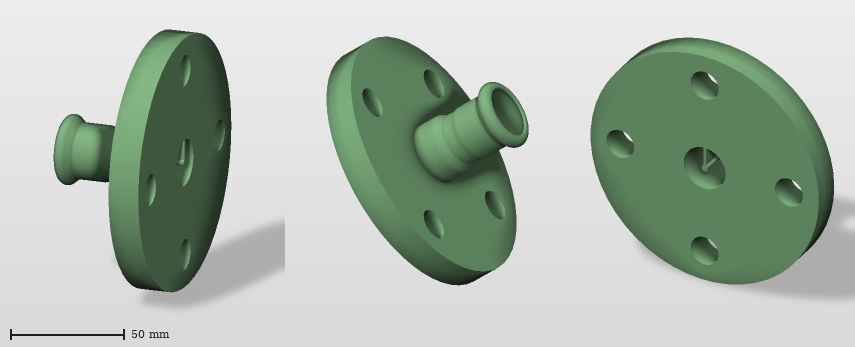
import cadquery as cq
import math

flange_diameter = 115.0
flange_thickness = 14.0
flange_bore = 21.0
bolt_hole_diameter = 14.0
bolt_circle_diameter = 85.0
bolt_hole_count = 4

wall = 0.98
fitting_length = 42.8
socket_radius = 12.6
socket_bore_radius = 11.6
neck_radius = 12.02
collar_radius = 13.97
bead_radius = 15.81
bead_section_radius = 3.2
cavity_section_radius = bead_section_radius - wall
bead_centre_radius = bead_radius - bead_section_radius
bead_end_x = 5.0
socket_start_x = 8.0
socket_end_x = 20.8
neck_start_x = 23.3
neck_end_x = 28.4
shoulder_x = 30.9
shoulder_radius = 13.3
collar_start_x = 33.2

mouth_edge_radius = 12.02
lip_radius = socket_bore_radius
lip_chamfer_length = 0.3
inner_bend_radius = 1.8

key_stem_width = 1.2
key_head_diameter = 3.0
key_length = flange_thickness


def bead_point(section_radius, angle):
    """Point (x, r) on the bead section; the angle is measured from the +X side."""
    return (
        bead_section_radius + section_radius * math.cos(angle),
        bead_centre_radius + section_radius * math.sin(angle),
    )


bead_end_angle = math.acos((bead_end_x - bead_section_radius) / bead_section_radius)
bead_middle_angle = (bead_end_angle + math.pi) / 2
shoulder_middle_x = (shoulder_x + collar_start_x) / 2
shoulder_run = collar_start_x - shoulder_x
shoulder_rise = collar_radius - shoulder_radius
shoulder_arc_radius = (shoulder_run**2 + shoulder_rise**2) / (2 * shoulder_rise)
shoulder_middle_drop = shoulder_arc_radius - math.sqrt(
    shoulder_arc_radius**2 - (collar_start_x - shoulder_middle_x) ** 2
)
shoulder_middle = (shoulder_middle_x, collar_radius - shoulder_middle_drop)

cone_start_x, cone_start_radius = bead_point(cavity_section_radius, bead_end_angle)
cone_angle = math.atan2(cone_start_radius - socket_bore_radius, socket_start_x - cone_start_x)
bend_end_x = socket_start_x + inner_bend_radius * math.tan(cone_angle / 2)


def bend_point(angle):
    """Point (x, r) on the bend; the angle is measured back from the socket wall."""
    return (
        bend_end_x - inner_bend_radius * math.sin(angle),
        socket_bore_radius + inner_bend_radius * (1 - math.cos(angle)),
    )


def make_fitting():
    outer_section = bead_section_radius
    inner_section = cavity_section_radius
    profile = (
        cq.Workplane("XY")
        .moveTo(*bead_point(outer_section, math.pi))
        .threePointArc(
            bead_point(outer_section, bead_middle_angle),
            bead_point(outer_section, bead_end_angle),
        )
        .lineTo(socket_start_x, socket_radius)
        .lineTo(socket_end_x, socket_radius)
        .lineTo(neck_start_x, neck_radius)
        .lineTo(neck_end_x, neck_radius)
        .lineTo(shoulder_x, shoulder_radius)
        .threePointArc(shoulder_middle, (collar_start_x, collar_radius))
        .lineTo(fitting_length, collar_radius)
        .lineTo(fitting_length, collar_radius - wall)
        .lineTo(collar_start_x, collar_radius - wall)
        .threePointArc(
            (shoulder_middle[0], shoulder_middle[1] - wall),
            (shoulder_x, shoulder_radius - wall),
        )
        .lineTo(neck_end_x, neck_radius - wall)
        .lineTo(neck_start_x, neck_radius - wall)
        .lineTo(socket_end_x, socket_bore_radius)
        .lineTo(bend_end_x, socket_bore_radius)
        .threePointArc(bend_point(cone_angle / 2), bend_point(cone_angle))
        .lineTo(*bead_point(inner_section, bead_end_angle))
        .threePointArc(
            bead_point(inner_section, bead_middle_angle),
            bead_point(inner_section, math.pi),
        )
        .lineTo(wall, lip_radius)
        .lineTo(lip_chamfer_length, lip_radius)
        .lineTo(0, mouth_edge_radius)
        .close()
    )
    return profile.revolve(360, (0, 0, 0), (1, 0, 0))


def make_flange():
    return (
        cq.Workplane("YZ", origin=(fitting_length, 0, 0))
        .circle(flange_diameter / 2)
        .circle(flange_bore / 2)
        .extrude(flange_thickness)
        .cut(
            cq.Workplane("YZ", origin=(fitting_length, 0, 0))
            .polarArray(bolt_circle_diameter / 2, 0, 360, bolt_hole_count)
            .circle(bolt_hole_diameter / 2)
            .extrude(flange_thickness)
        )
    )


def make_key():
    bore_radius = flange_bore / 2
    key_plane = cq.Workplane("YZ", origin=(fitting_length, 0, 0))
    head = key_plane.circle(key_head_diameter / 2).extrude(key_length)
    stem = (
        key_plane.center(0, bore_radius / 2)
        .rect(key_stem_width, bore_radius)
        .extrude(key_length)
    )
    key = head.union(stem)
    return key.intersect(key_plane.circle(bore_radius).extrude(key_length))


fitting = make_fitting()
flange = make_flange()
key = make_key()
result = cq.Compound.makeCompound([fitting.val(), flange.val(), key.val()])